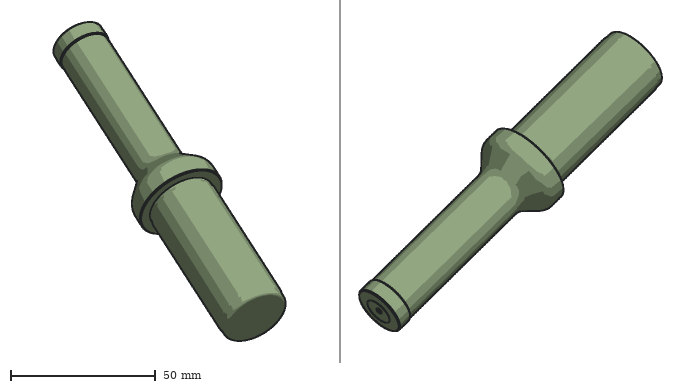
import cadquery as cq
import math

LENGTH = 135.0

CAP_LENGTH = 6.2
CAP_END_DIAMETER = 19.0
CAP_CROWN_DIAMETER = 19.3
CAP_CHAMFER = 0.4
FACE_CONE_RISE = 0.1

BOSS_DIAMETER = 10.3
BOSS_HEIGHT = 0.1
DISH_DIAMETER = 7.5
DISH_FLOOR_DIAMETER = 4.6
DISH_DEPTH = 0.3
CENTRE_BORE_DIAMETER = 2.3
CENTRE_BORE_DEPTH = 0.3
PILOT_DIAMETER = 1.5
PILOT_DEPTH = 0.5

STEM_DIAMETER = 18.5
FLARE_START = 62.0
FLARE_ANGLE = math.radians(40)
FLARE_ROOT_RADIUS = 5.4
FLARE_RIM_RADIUS = 4.5
FLANGE_DIAMETER = 32.0
FLANGE_BACK = 79.0
FLANGE_CHAMFER = 0.4

SHANK_DIAMETER = 25.0
RELIEF_DIAMETER = 24.5
FRONT_TAPER_START = 79.9
FRONT_TAPER_END = 81.0
REAR_TAPER_START = 131.0
REAR_TAPER_END = 132.0
END_ROUND = 1.2


def revolve_about_x(profile):
    """Revolve a closed (X, radius) profile about the X axis."""
    return profile.close().revolve(360, (0, 0, 0), (1, 0, 0))


def make_cap():
    """Crowned cap with a slightly conical face and a dished, bored boss."""
    end_radius = CAP_END_DIAMETER / 2
    face_radius = end_radius - CAP_CHAMFER
    boss_radius = BOSS_DIAMETER / 2
    face_edge = BOSS_HEIGHT + FACE_CONE_RISE
    crown_start = face_edge + CAP_CHAMFER
    crown_end = CAP_LENGTH - CAP_CHAMFER
    bore_floor = DISH_DEPTH + CENTRE_BORE_DEPTH
    pilot_floor = bore_floor + PILOT_DEPTH
    profile = (
        cq.Workplane("XY")
        .moveTo(pilot_floor, 0)
        .lineTo(pilot_floor, PILOT_DIAMETER / 2)
        .lineTo(bore_floor, PILOT_DIAMETER / 2)
        .lineTo(bore_floor, CENTRE_BORE_DIAMETER / 2)
        .lineTo(DISH_DEPTH, CENTRE_BORE_DIAMETER / 2)
        .lineTo(DISH_DEPTH, DISH_FLOOR_DIAMETER / 2)
        .lineTo(0, DISH_DIAMETER / 2)
        .lineTo(0, boss_radius)
        .lineTo(BOSS_HEIGHT, boss_radius)
        .lineTo(face_edge, face_radius)
        .lineTo(crown_start, end_radius)
        .threePointArc(((crown_start + crown_end) / 2, CAP_CROWN_DIAMETER / 2), (crown_end, end_radius))
        .lineTo(CAP_LENGTH, face_radius)
        .lineTo(CAP_LENGTH, 0)
    )
    return revolve_about_x(profile)


def add_flare(profile):
    """Continue a profile from the stem through two tangent arcs to the flange rim."""
    stem_radius = STEM_DIAMETER / 2
    rim_radius = FLANGE_DIAMETER / 2
    arc_rise = 1 - math.cos(FLARE_ANGLE)
    arc_run = math.sin(FLARE_ANGLE)
    half_rise = 1 - math.cos(FLARE_ANGLE / 2)
    half_run = math.sin(FLARE_ANGLE / 2)

    cone_start = FLARE_START + FLARE_ROOT_RADIUS * arc_run
    cone_start_radius = stem_radius + FLARE_ROOT_RADIUS * arc_rise
    cone_end_radius = rim_radius - FLARE_RIM_RADIUS * arc_rise
    cone_end = cone_start + (cone_end_radius - cone_start_radius) / math.tan(FLARE_ANGLE)
    rim_start = cone_end + FLARE_RIM_RADIUS * arc_run

    root_middle = (FLARE_START + FLARE_ROOT_RADIUS * half_run, stem_radius + FLARE_ROOT_RADIUS * half_rise)
    rim_middle = (rim_start - FLARE_RIM_RADIUS * half_run, rim_radius - FLARE_RIM_RADIUS * half_rise)
    return (
        profile.lineTo(FLARE_START, stem_radius)
        .threePointArc(root_middle, (cone_start, cone_start_radius))
        .lineTo(cone_end, cone_end_radius)
        .threePointArc(rim_middle, (rim_start, rim_radius))
    )


def add_flange_back(profile):
    """Continue a profile along the flange rim and down its back to the shank."""
    rim_radius = FLANGE_DIAMETER / 2
    return (
        profile.lineTo(FLANGE_BACK - FLANGE_CHAMFER, rim_radius)
        .lineTo(FLANGE_BACK, rim_radius - FLANGE_CHAMFER)
        .lineTo(FLANGE_BACK, RELIEF_DIAMETER / 2)
    )


def add_shank(profile):
    """Continue a profile along the shank, reduced near both ends and rounded at the last."""
    relief_radius = RELIEF_DIAMETER / 2
    shank_radius = SHANK_DIAMETER / 2
    round_inset = END_ROUND * (1 - math.sqrt(0.5))
    return (
        profile.lineTo(FRONT_TAPER_START, relief_radius)
        .lineTo(FRONT_TAPER_END, shank_radius)
        .lineTo(REAR_TAPER_START, shank_radius)
        .lineTo(REAR_TAPER_END, relief_radius)
        .lineTo(LENGTH - END_ROUND, relief_radius)
        .threePointArc(
            (LENGTH - round_inset, relief_radius - round_inset),
            (LENGTH, relief_radius - END_ROUND),
        )
        .lineTo(LENGTH, 0)
    )


def make_holder():
    """Solid holder: stem, flared flange and shank."""
    profile = cq.Workplane("XY").moveTo(CAP_LENGTH, 0).lineTo(CAP_LENGTH, STEM_DIAMETER / 2)
    profile = add_flare(profile)
    profile = add_flange_back(profile)
    profile = add_shank(profile)
    return revolve_about_x(profile)


cap = make_cap()
holder = make_holder()

result = cq.Compound.makeCompound([cap.val(), holder.val()])